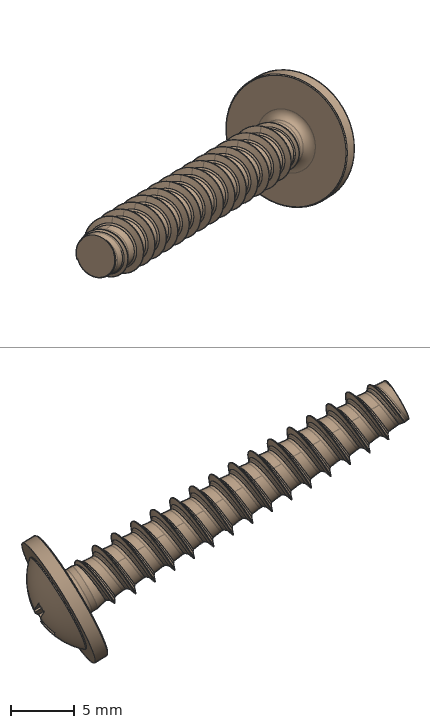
import cadquery as cq
import math


flange_diameter = 11.0
flange_thickness = 1.2
flange_edge_chamfer = 0.08
head_height = 3.15
dome_sphere_radius = 5.7
dome_base_radius = 4.2

recess_wing_width = 0.83
recess_span = 4.0
recess_depth = head_height - flange_thickness

length = 30.0
neck_radius = 1.95
neck_fillet = 0.7
neck_length = 1.2
neck_taper_length = 0.8
core_radius = 1.77
tip_chamfer = 0.06

pitch = 1.8
crest_radius = 2.5
crest_half_width = 0.03
flank_break_radius = 2.0
flank_break_half_width = 0.2
thread_foot_radius = core_radius + 0.09
thread_foot_half_width = 0.34
root_lead = -0.5
root_gap = 0.05
root_trail = root_lead + pitch - root_gap
root_radius = core_radius - 0.02
buried_radius = core_radius - 0.3
fade_radius = core_radius + 0.03
thread_start = neck_length
thread_start_angle = 270.0
run_in_turns = 1.5
run_in_height = 0.36
full_turns = 13
run_out_turns = 1.3
run_out_height = 0.05

thread_section = [
    (root_lead, buried_radius),
    (root_lead, root_radius),
    (-thread_foot_half_width, thread_foot_radius),
    (-flank_break_half_width, flank_break_radius),
    (-crest_half_width, crest_radius),
    (crest_half_width, crest_radius),
    (flank_break_half_width, flank_break_radius),
    (thread_foot_half_width, thread_foot_radius),
    (root_trail, root_radius),
    (root_trail, buried_radius),
]


def make_body():
    """Head, neck and plain core revolved as one outline of (radius, Z) points."""
    flange_radius = flange_diameter / 2
    apex_z = -head_height
    centre_z = apex_z + dome_sphere_radius
    dome_base_z = centre_z - math.sqrt(dome_sphere_radius**2 - dome_base_radius**2)
    mid_radius = dome_base_radius / 2
    mid_z = centre_z - math.sqrt(dome_sphere_radius**2 - mid_radius**2)
    fillet_mid = neck_fillet * (1 - math.sqrt(0.5))
    outline = (
        cq.Workplane("XZ")
        .moveTo(0, apex_z)
        .threePointArc((mid_radius, mid_z), (dome_base_radius, dome_base_z))
        .lineTo(dome_base_radius, -flange_thickness)
        .lineTo(flange_radius, -flange_thickness)
        .lineTo(flange_radius, -flange_edge_chamfer)
        .lineTo(flange_radius - flange_edge_chamfer, 0)
        .lineTo(neck_radius + neck_fillet, 0)
        .threePointArc((neck_radius + fillet_mid, fillet_mid), (neck_radius, neck_fillet))
        .lineTo(neck_radius, neck_length)
        .lineTo(core_radius, neck_length + neck_taper_length)
        .lineTo(core_radius, length - tip_chamfer)
        .lineTo(core_radius - tip_chamfer, length)
        .lineTo(0, length)
        .close()
    )
    return outline.revolve(360, (0, 0, 0), (0, 1, 0))


def helix_edge(offset, radius, turns, rise):
    """Helix from Z = offset whose radius changes by rise over the given turns."""
    height = turns * pitch
    foot = cq.Vector(0, 0, offset)
    if rise == 0:
        return cq.Wire.makeHelix(pitch, height, radius, foot).Edges()[0]
    cone_angle = math.atan2(rise, height)
    slant = 1 / math.cos(cone_angle)
    helix = cq.Wire.makeHelix(
        pitch * slant, height * slant, radius, foot, angle=math.degrees(cone_angle)
    )
    return helix.Edges()[0]


def section_edges(start_turn, turns, start_height, end_height):
    """One helix per section point; the heights scale the thread above fade_radius."""
    start_angle = thread_start_angle + 360 * start_turn
    edges = []
    for offset, radius in thread_section:
        above_fade = max(radius - fade_radius, 0)
        start_radius = radius - above_fade * (1 - start_height)
        rise = above_fade * (end_height - start_height)
        edge = helix_edge(offset, start_radius, turns, rise)
        edge = edge.rotate(cq.Vector(0, 0, 0), cq.Vector(0, 0, 1), start_angle)
        edges.append(edge.translate(cq.Vector(0, 0, thread_start + start_turn * pitch)))
    return edges


def flanks(edges):
    """Ruled faces joining each helix to the next around the section."""
    following = edges[1:] + edges[:1]
    return [cq.Face.makeRuledSurface(edge, other) for edge, other in zip(edges, following)]


def end_face(edges, end):
    """Flat face across the section at the start (0) or finish (1) of the helices."""
    corners = [edge.positionAt(end) for edge in edges]
    return cq.Face.makeFromWires(cq.Wire.makePolygon(corners, close=True))


def make_thread():
    """Run-in, full thread and run-out sewn into one solid."""
    run_in = section_edges(0, run_in_turns, run_in_height, 1)
    run_out = section_edges(run_in_turns + full_turns, run_out_turns, 1, run_out_height)
    faces = [end_face(run_in, 0), end_face(run_out, 1)]
    faces += flanks(run_in) + flanks(run_out)
    for turn in range(full_turns):
        faces += flanks(section_edges(run_in_turns + turn, 1, 1, 1))
    thread = cq.Workplane(cq.Solid.makeSolid(cq.Shell.makeShell(faces)))

    beyond_tip = cq.Workplane("XY").workplane(offset=length).circle(crest_radius).extrude(pitch)
    return thread.cut(beyond_tip)


def make_recess():
    """Two crossed slots sunk into the dome along the axis."""
    wing = cq.Workplane("XY").box(
        recess_span, recess_wing_width, recess_depth, centered=(True, True, False)
    )
    cross = wing.union(wing.rotate((0, 0, 0), (0, 0, 1), 90))
    round_ends = cq.Workplane("XY").circle(recess_span / 2).extrude(recess_depth)
    return cross.intersect(round_ends).translate((0, 0, -head_height))


screw = make_body().cut(make_recess()).union(make_thread())

result = screw.rotate((0, 0, 0), (1, 0, 0), 90)